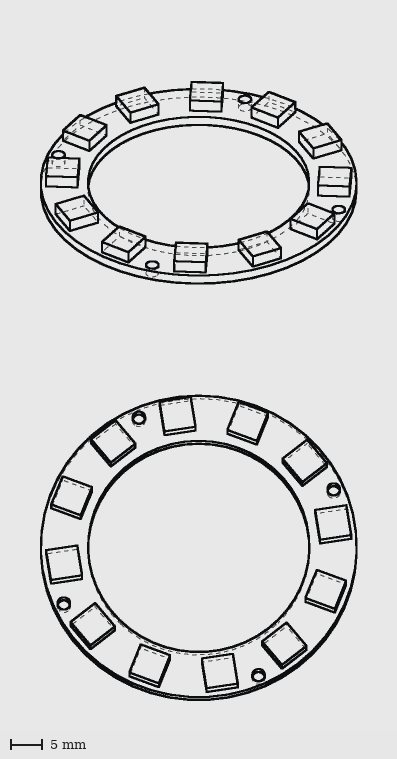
import cadquery as cq

outer_diameter = 50
inner_diameter = 35
ring_thickness = 1.6

block_count = 12
block_side = 5
block_height = 2
block_circle_radius = 21.55

hole_count = 4
hole_diameter = 2
hole_circle_radius = 23.35
hole_start_angle = 45


def make_ring():
    return (
        cq.Workplane("XY")
        .circle(outer_diameter / 2)
        .circle(inner_diameter / 2)
        .extrude(ring_thickness)
    )


def make_blocks():
    return (
        cq.Workplane("XY")
        .workplane(offset=ring_thickness)
        .polarArray(block_circle_radius, 0, 360, block_count)
        .rect(block_side, block_side)
        .extrude(block_height)
    )


def make_hole_cutters():
    return (
        cq.Workplane("XY")
        .polarArray(hole_circle_radius, hole_start_angle, 360, hole_count)
        .circle(hole_diameter / 2)
        .extrude(ring_thickness)
    )


result = make_ring().union(make_blocks()).cut(make_hole_cutters())